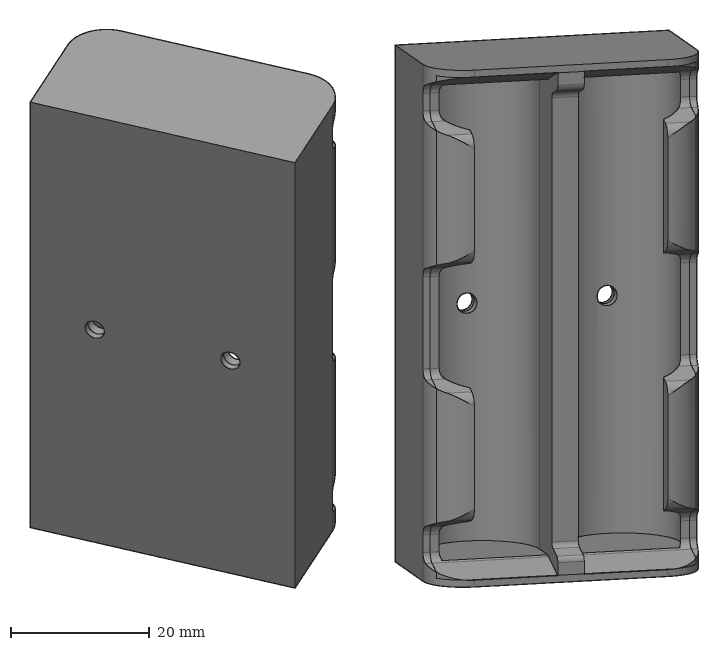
import cadquery as cq
import math

WIDTH = 41.0
DEPTH = 21.0
LENGTH = 76.0
CORNER_RADIUS = 6.0

SHELL_WALL = 1.1

BAY_OFFSET = 10.5
BAY_RADIUS = 8.5
BAY_AXIS_DEPTH = 9.9
BAY_LENGTH = 69.9

HOLE_DIAMETER = 3.0

NOTCH_TAPER = math.tan(math.radians(20))
NOTCH_DEPTH = CORNER_RADIUS
CENTER_NOTCH_HALF = 7.8
END_NOTCH_INNER = 30.1
END_NOTCH_OUTER = 34.8
ARM_TIP_RADIUS = 2.0
NOTCH_ROOT_RADIUS = 1.5

DIVIDER_NOTCH_DEPTH = 3.2
DIVIDER_NOTCH_HALF = 33.3
DIVIDER_NOTCH_RADIUS = 0.9

HALF_WIDTH = WIDTH / 2
BAY_AXIS_Y = DEPTH - BAY_AXIS_DEPTH
DIVIDER_HALF = BAY_OFFSET - BAY_RADIUS
ARM_TIP_X = HALF_WIDTH - CORNER_RADIUS


def block():
    """Full outer block with the two long +Y edges rounded."""
    body = cq.Workplane("XY").box(WIDTH, DEPTH, LENGTH, centered=(True, False, True))
    return body.edges("|Z and >Y").fillet(CORNER_RADIUS)


def insert_space():
    """Rectangular pocket of the shell, open towards +Y."""
    return cq.Workplane("XY").box(
        WIDTH - 2 * SHELL_WALL, DEPTH, LENGTH - 2 * SHELL_WALL, centered=(True, False, True)
    ).translate((0, SHELL_WALL, 0))


def bay(side):
    """Round bay, open at +Y from the arm tip across to the flat divider face."""
    center_x = side * BAY_OFFSET
    base = cq.Workplane("XY").workplane(offset=-BAY_LENGTH / 2)
    bore = base.center(center_x, BAY_AXIS_Y).circle(BAY_RADIUS).extrude(BAY_LENGTH)
    mouth = cq.Workplane("XY").box(
        ARM_TIP_X - DIVIDER_HALF, BAY_AXIS_DEPTH, BAY_LENGTH, centered=(True, False, True)
    ).translate((side * (ARM_TIP_X + DIVIDER_HALF) / 2, BAY_AXIS_Y, 0))
    return bore.union(mouth)


def tapered_notch(depth, root_radius, z_low, z_high, x_low, x_high):
    """Notch cutter spanning x_low to x_high that widens from its rounded floor to the +Y face."""
    floor_y = DEPTH - depth
    spread = depth * NOTCH_TAPER
    return (
        cq.Workplane("YZ", origin=(x_low, 0, 0))
        .moveTo(floor_y, z_low)
        .lineTo(DEPTH, z_low - spread)
        .lineTo(DEPTH, z_high + spread)
        .lineTo(floor_y, z_high)
        .close()
        .extrude(x_high - x_low)
        .faces("<Y")
        .edges("|X")
        .fillet(root_radius)
    )


def lip_rounding(z_edge, lip_direction, depth, radius, x_low, x_high):
    """Cutter for the rounded lip where a notch wall meets the +Y face.

    The wall starts at z_edge on the notch floor and leans towards lip_direction.
    """
    tip_z = z_edge + lip_direction * depth * NOTCH_TAPER
    slope_angle = math.atan(NOTCH_TAPER)
    reach = radius * math.tan((math.pi / 2 - slope_angle) / 2)
    center_z = tip_z + lip_direction * reach
    center_y = DEPTH - radius
    tangent_y = DEPTH - reach * math.cos(slope_angle)
    tangent_z = tip_z - lip_direction * reach * math.sin(slope_angle)
    middle_angle = (math.pi / 2 - slope_angle) / 2
    middle = (
        center_y + radius * math.cos(middle_angle),
        center_z - lip_direction * radius * math.sin(middle_angle),
    )
    return (
        cq.Workplane("YZ", origin=(x_low, 0, 0))
        .moveTo(DEPTH, tip_z)
        .lineTo(DEPTH, center_z)
        .threePointArc(middle, (tangent_y, tangent_z))
        .close()
        .extrude(x_high - x_low)
    )


def side_notches(side):
    """Centre notch and two end notches through one long side, up to the divider face."""
    x_low, x_high = sorted((side * DIVIDER_HALF, side * HALF_WIDTH))
    cutter = tapered_notch(
        NOTCH_DEPTH, NOTCH_ROOT_RADIUS, -CENTER_NOTCH_HALF, CENTER_NOTCH_HALF, x_low, x_high
    )
    for end in (-1, 1):
        z_low, z_high = sorted((end * END_NOTCH_INNER, end * END_NOTCH_OUTER))
        cutter = cutter.union(tapered_notch(NOTCH_DEPTH, NOTCH_ROOT_RADIUS, z_low, z_high, x_low, x_high))
        for z_edge, direction in ((CENTER_NOTCH_HALF, end), (END_NOTCH_INNER, -end)):
            tip = lip_rounding(end * z_edge, direction, NOTCH_DEPTH, ARM_TIP_RADIUS, x_low, x_high)
            cutter = cutter.union(tip)
    return cutter


def divider_notch():
    """Long notch in the divider with rounded floor corners and rounded lips."""
    notch = tapered_notch(
        DIVIDER_NOTCH_DEPTH, DIVIDER_NOTCH_RADIUS, -DIVIDER_NOTCH_HALF, DIVIDER_NOTCH_HALF,
        -DIVIDER_HALF, DIVIDER_HALF,
    )
    for end in (-1, 1):
        notch = notch.union(
            lip_rounding(
                end * DIVIDER_NOTCH_HALF, end, DIVIDER_NOTCH_DEPTH, DIVIDER_NOTCH_RADIUS,
                -DIVIDER_HALF, DIVIDER_HALF,
            )
        )
    return notch


def screw_holes():
    """Pair of holes along Y through the back of both bodies."""
    return (
        cq.Workplane("XZ")
        .pushPoints([(-BAY_OFFSET, 0), (BAY_OFFSET, 0)])
        .circle(HOLE_DIAMETER / 2)
        .extrude(-BAY_AXIS_Y)
    )


def make_shell(notches):
    """Thin outer tray around the insert."""
    return block().cut(insert_space()).cut(notches).cut(screw_holes())


def make_insert(notches):
    """Holder that fills the shell: two bays, the divider and the gripping arms."""
    body = block().intersect(insert_space())
    for side in (-1, 1):
        body = body.cut(bay(side))
    return body.cut(notches).cut(divider_notch()).cut(screw_holes())


notches = side_notches(-1).union(side_notches(1))
shell = make_shell(notches)
insert = make_insert(notches)

result = cq.Compound.makeCompound([shell.val(), insert.val()])